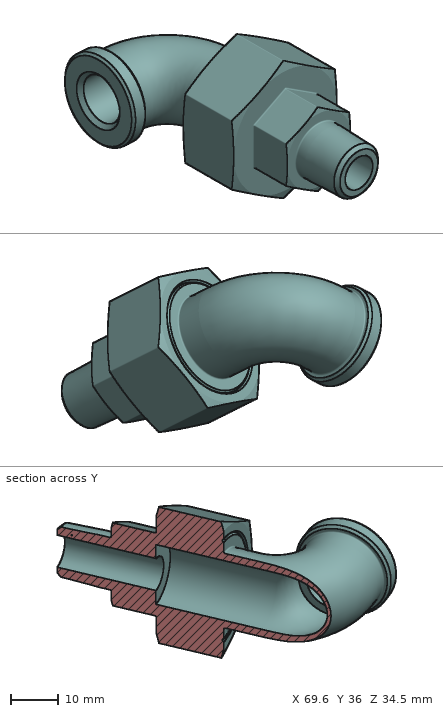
import cadquery as cq
import math

pipe_diameter = 19.0
bend_radius = 14.0

collar_diameter = 22.0
collar_length = 4.0
collar_chamfer = 0.6
inlet_reach = 21.0

bore_diameter = 11.3
bore_depth = 10.0
passage_diameter = 15.0
passage_bend_radius = inlet_reach - bore_depth
mouth_diameter = 13.4
mouth_chamfer_depth = (mouth_diameter - bore_diameter) / 2

nut_start = 20.0
nut_end = 35.7
nut_across_flats = 30.0

groove_middle_radius = 12.6
groove_half_width = 0.4
groove_depth = 0.4

hexagon_end = 46.15
hexagon_across_flats = 18.35
thread_taper_start = 48.85
thread_end = 58.6
thread_radius = 6.7
thread_taper_per_length = 1 / 32
thread_end_chamfer = 0.9
outlet_bore_diameter = 8.0

hexagon_edge_fillet = 0.3
hexagon_chamfer_angle = 15.0
root_fillet = 0.3


def cylinder_along_x(start, end, diameter):
    """Cylinder on the X axis between two X positions."""
    return cq.Workplane("YZ", origin=(start, 0, 0)).circle(diameter / 2).extrude(end - start)


def revolve_about_x(points):
    """Solid of revolution about X from (x, radius) points."""
    return cq.Workplane("XY").polyline(points).close().revolve(360, (0, 0, 0), (1, 0, 0))


def hexagon_along_x(start, end, across_flats, chamfer_start, chamfer_end):
    """Hexagon prism with corners up and down, rounded edges and corners turned off at chosen ends."""
    corner_radius = across_flats / 2 / math.cos(math.pi / 6)
    flat_radius = across_flats / 2
    corner_setback = (corner_radius - flat_radius) * math.tan(math.radians(hexagon_chamfer_angle))
    prism = (
        cq.Workplane("YZ", origin=(start, 0, 0))
        .transformed(rotate=(0, 0, 90))
        .polygon(6, 2 * corner_radius)
        .extrude(end - start)
        .edges("|X")
        .fillet(hexagon_edge_fillet)
    )
    start_radius = flat_radius if chamfer_start else corner_radius
    end_radius = flat_radius if chamfer_end else corner_radius
    turned_envelope = revolve_about_x([
        (start, 0),
        (start, start_radius),
        (start + corner_setback, corner_radius),
        (end - corner_setback, corner_radius),
        (end, end_radius),
        (end, 0),
    ])
    return prism.intersect(turned_envelope)


def cylinder_from_inlet(start_depth, end_depth, diameter):
    """Cylinder on the Y axis between two depths behind the inlet face."""
    start_plane = cq.Workplane("XZ", origin=(0, start_depth - inlet_reach, 0))
    return start_plane.circle(diameter / 2).extrude(start_depth - end_depth)


def quarter_bend(diameter, radius):
    """Round quarter bend, tangent to the Y axis at y = -radius and to the X axis at x = radius."""
    return (
        cq.Workplane("XZ", origin=(0, -radius, 0))
        .circle(diameter / 2)
        .revolve(90, (radius, 0, 0), (radius, -1, 0))
    )


def outer_elbow():
    """Solid elbow from the collar to the nut."""
    inlet_leg = cylinder_from_inlet(collar_length, inlet_reach - bend_radius, pipe_diameter)
    outlet_leg = cylinder_along_x(bend_radius, nut_start, pipe_diameter)
    return quarter_bend(pipe_diameter, bend_radius).union(inlet_leg).union(outlet_leg)


def inlet_collar():
    """Chamfered collar around the inlet."""
    return cylinder_from_inlet(0, collar_length, collar_diameter).edges().chamfer(collar_chamfer)


def flow_passage():
    """Inlet bore, bent passage and outlet bore."""
    inlet_bore = cylinder_from_inlet(0, bore_depth, bore_diameter)
    bend = quarter_bend(passage_diameter, passage_bend_radius)
    outlet_leg = cylinder_along_x(passage_bend_radius, nut_end, passage_diameter)
    outlet_bore = cylinder_along_x(nut_end, thread_end, outlet_bore_diameter)
    return inlet_bore.union(bend).union(outlet_leg).union(outlet_bore).union(mouth_chamfer())


def male_thread():
    """Cylindrical neck, taper thread body and end chamfer."""
    chamfer_start = thread_end - thread_end_chamfer
    small_radius = thread_radius - (chamfer_start - thread_taper_start) * thread_taper_per_length
    return revolve_about_x([
        (nut_end, 0),
        (nut_end, thread_radius),
        (thread_taper_start, thread_radius),
        (chamfer_start, small_radius),
        (thread_end, small_radius - thread_end_chamfer),
        (thread_end, 0),
    ])


def flange_groove():
    """V-shaped ring cut into the inlet side of the nut."""
    return revolve_about_x([
        (nut_start, groove_middle_radius - groove_half_width),
        (nut_start, groove_middle_radius + groove_half_width),
        (nut_start + groove_depth, groove_middle_radius),
    ])


def mouth_chamfer():
    """Cone that widens the bore at the inlet face."""
    return (
        cq.Workplane("XY")
        .polyline([
            (0, -inlet_reach),
            (mouth_diameter / 2, -inlet_reach),
            (bore_diameter / 2, -inlet_reach + mouth_chamfer_depth),
            (0, -inlet_reach + mouth_chamfer_depth),
        ])
        .close()
        .revolve(360, (0, 0, 0), (0, 1, 0))
    )


def fillet_root(body, center, sizes):
    """Fillet the edges that lie wholly inside a box given by its center and X, Y, Z sizes."""
    low = tuple(middle - size / 2 for middle, size in zip(center, sizes))
    high = tuple(middle + size / 2 for middle, size in zip(center, sizes))
    return body.edges(cq.selectors.BoxSelector(low, high, boundingbox=True)).fillet(root_fillet)


nut = hexagon_along_x(nut_start, nut_end, nut_across_flats, True, True)
hexagon = hexagon_along_x(nut_end, hexagon_end, hexagon_across_flats, False, True)
body = outer_elbow().union(inlet_collar()).union(nut).union(hexagon).union(male_thread())

margin = 0.2
pipe_box = pipe_diameter + margin
hexagon_box = hexagon_across_flats / math.cos(math.pi / 6) + margin
thread_box = 2 * thread_radius + margin
body = fillet_root(body, (0, -inlet_reach + collar_length, 0), (pipe_box, margin, pipe_box))
body = fillet_root(body, (nut_start, 0, 0), (margin, pipe_box, pipe_box))
body = fillet_root(body, (nut_end, 0, 0), (margin, hexagon_box, hexagon_box))
body = fillet_root(body, (hexagon_end, 0, 0), (margin, thread_box, thread_box))

result = body.cut(flange_groove()).cut(flow_passage())